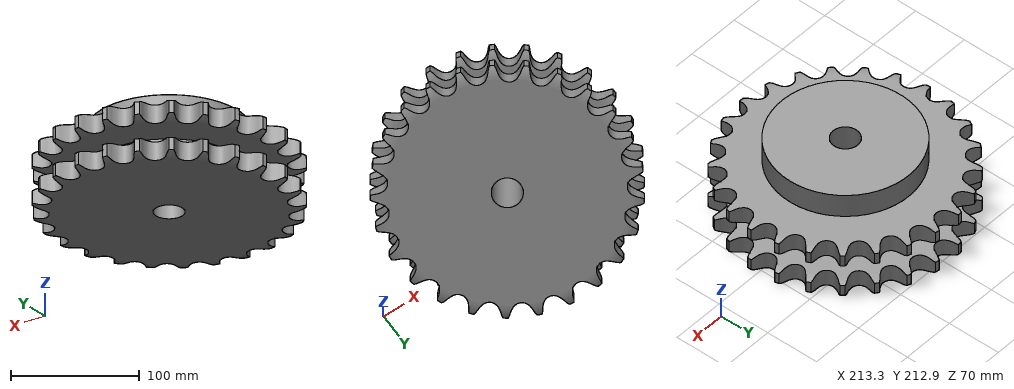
import cadquery as cq
import math


tooth_count = 25
chain_pitch = 25.4
roller_dia = 15.8
roller_clearance = 0.038

tip_dia = 213.5
plate_thickness = 15.8
strand_spacing = 31.8
hub_dia = 130.0
bore_dia = 25.0
total_height = 70.0

rim_start_radius = 95.5
rim_arc_radius = chain_pitch

half_tooth_angle = math.pi / tooth_count
pitch_radius = chain_pitch / (2 * math.sin(half_tooth_angle))
tip_radius = tip_dia / 2
seat_radius = 0.5025 * roller_dia + roller_clearance
seat_limit_angle = math.radians(35 + 60 / tooth_count)
working_angle = math.radians(18 - 56 / tooth_count)
flank_angle = math.radians(17 - 64 / tooth_count)
working_offset = 0.8 * roller_dia
working_radius = seat_radius + working_offset
topping_offset = 1.4 * roller_dia
topping_radius = (
    working_offset * math.cos(working_angle)
    + topping_offset * math.cos(flank_angle)
    - working_radius
)


def polar(center, radius, angle):
    """Point at a distance and direction from a centre."""
    return (center[0] + radius * math.cos(angle), center[1] + radius * math.sin(angle))


def flank_points():
    """Right flank of a tooth gap opening along +Y, from the gap bottom out to the tooth tip."""
    seat_center = (0, pitch_radius)
    gap_bottom = polar(seat_center, seat_radius, -math.pi / 2)
    seat_middle = polar(seat_center, seat_radius, -(math.pi / 2 + seat_limit_angle) / 2)
    seat_end = polar(seat_center, seat_radius, -seat_limit_angle)

    working_center = polar(seat_center, working_offset, math.pi - seat_limit_angle)
    working_end_angle = working_angle - seat_limit_angle
    working_middle = polar(working_center, working_radius, working_end_angle - working_angle / 2)
    working_end = polar(working_center, working_radius, working_end_angle)

    topping_center = polar(seat_center, topping_offset, -half_tooth_angle)
    topping_start_angle = math.pi + working_end_angle
    topping_start = polar(topping_center, topping_radius, topping_start_angle)

    center_distance = math.hypot(*topping_center)
    center_direction = math.atan2(topping_center[1], topping_center[0])
    tip_turn = math.acos(
        (tip_radius**2 - center_distance**2 - topping_radius**2)
        / (2 * center_distance * topping_radius)
    )
    tip_angle = center_direction + tip_turn
    topping_middle = polar(topping_center, topping_radius, (topping_start_angle + tip_angle) / 2)
    tip_corner = polar(topping_center, topping_radius, tip_angle)

    return [
        gap_bottom,
        seat_middle,
        seat_end,
        working_middle,
        working_end,
        topping_start,
        topping_middle,
        tip_corner,
    ]


def turn(points, angle):
    """Rotate points clockwise about the origin."""
    c = math.cos(angle)
    s = math.sin(angle)
    return [(x * c + y * s, y * c - x * s) for x, y in points]


def trace_outward(outline, flank):
    """Draw a flank from the gap bottom to the tooth tip."""
    _, seat_mid, seat_end, working_mid, working_end, topping_start, topping_mid, tip_corner = flank
    return (
        outline.threePointArc(seat_mid, seat_end)
        .threePointArc(working_mid, working_end)
        .lineTo(*topping_start)
        .threePointArc(topping_mid, tip_corner)
    )


def trace_inward(outline, flank):
    """Draw a flank from the tooth tip to the gap bottom."""
    bottom, seat_mid, seat_end, working_mid, working_end, topping_start, topping_mid, _ = flank
    return (
        outline.threePointArc(topping_mid, topping_start)
        .lineTo(*working_end)
        .threePointArc(working_mid, seat_end)
        .threePointArc(seat_mid, bottom)
    )


def tooth_outline():
    """Closed outline of all teeth, starting at a gap centred on +Y and running clockwise."""
    right_flank = flank_points()
    left_flank = [(-x, y) for x, y in right_flank]
    outline = cq.Workplane("XY").moveTo(*right_flank[0])
    for index in range(tooth_count):
        gap_angle = 2 * half_tooth_angle * index
        next_gap_angle = gap_angle + 2 * half_tooth_angle
        next_flank = turn(left_flank, next_gap_angle)
        tip_middle = polar((0, 0), tip_radius, math.pi / 2 - gap_angle - half_tooth_angle)
        outline = trace_outward(outline, turn(right_flank, gap_angle))
        outline = outline.threePointArc(tip_middle, next_flank[-1])
        outline = trace_inward(outline, next_flank)
    return outline.close()


def rim_drop(radius):
    """How far the rounded rim has fallen below the flat face at a radius."""
    return rim_arc_radius - math.sqrt(rim_arc_radius**2 - (radius - rim_start_radius) ** 2)


def rounded_blank():
    """Disc whose two faces curve in towards the rim."""
    middle_radius = (rim_start_radius + tip_radius) / 2
    return (
        cq.Workplane("XZ")
        .lineTo(rim_start_radius, 0)
        .threePointArc((middle_radius, rim_drop(middle_radius)), (tip_radius, rim_drop(tip_radius)))
        .lineTo(tip_radius, plate_thickness - rim_drop(tip_radius))
        .threePointArc(
            (middle_radius, plate_thickness - rim_drop(middle_radius)),
            (rim_start_radius, plate_thickness),
        )
        .lineTo(0, plate_thickness)
        .close()
        .revolve(360, (0, 0), (0, 1))
    )


toothed_plate = tooth_outline().extrude(plate_thickness).intersect(rounded_blank())

hub = cq.Workplane("XY").circle(hub_dia / 2).extrude(total_height)
bore = cq.Workplane("XY").circle(bore_dia / 2).extrude(total_height)

result = (
    hub.union(toothed_plate)
    .union(toothed_plate.translate((0, 0, strand_spacing)))
    .cut(bore)
)